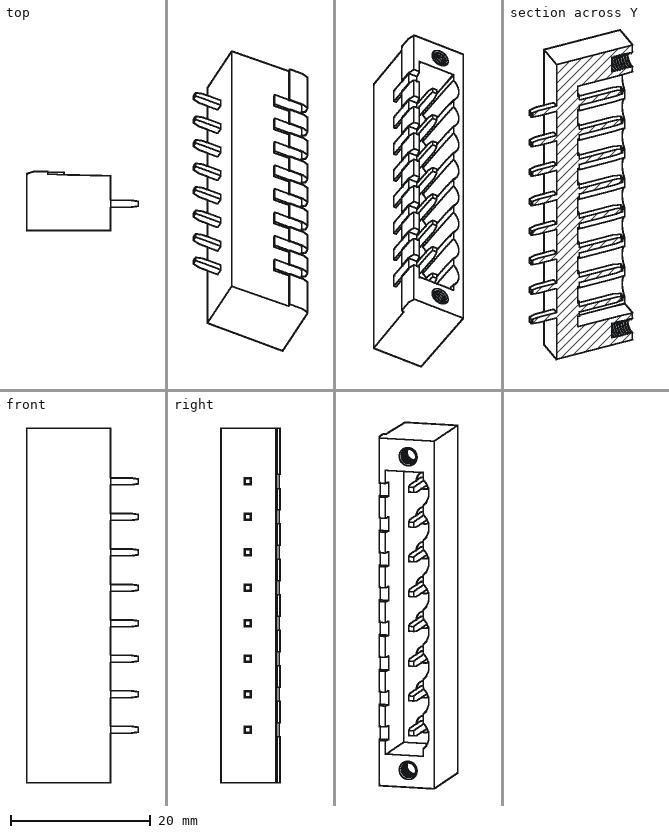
import cadquery as cq
import math

length = 50.8
body_depth = 12.05
total_depth = 16.0
width = 8.5

lip_bevel_depth = 1.0
lip_bevel_height = 0.3
lip_nose_depth = 0.05
lip_nose_height = 0.2
lip_end = 3.05
shoulder_y = 8.1
rear_y = 7.85

contact_count = 8
pitch = 5.1
first_contact_z = (length - pitch * (contact_count - 1)) / 2
contact_y = 3.85
contact_size = 1.0
contact_front = 1.5
taper_length = 1.0
taper_inset = 0.15
collar_diameter = 2.5
collar_height = 0.25

cavity_depth = 8.65
cavity_low_y = 1.65
cavity_high_y = 7.05
cavity_end_wall = 4.65
flare_depth = 2.05
flare_inset = 0.075
flare_angle = math.degrees(math.atan(flare_inset / flare_depth))

bevel_y = 7.3
ramp_start = 0.2
ramp_start_y = 7.2
ramp_end = 1.1

scallop_bottom_y = 0.75
scallop_half_height = 1.9
scallop_sag = cavity_low_y - scallop_bottom_y
scallop_radius = (scallop_half_height**2 + scallop_sag**2) / (2 * scallop_sag)

notch_height = 2.05
notch_depth = ramp_end
rib_end = 5.4
rib_top_y = 8.4

screw_z = 2.5
thread_minor_radius = 1.05
thread_major_radius = 1.3
thread_pitch = 0.4
thread_turns = 8

contact_heights = [first_contact_z + pitch * i for i in range(contact_count)]


def box(x_range, y_range, z_range):
    """Axis-aligned box given its limits along each axis."""
    size = [high - low for low, high in (x_range, y_range, z_range)]
    corner = (x_range[0], y_range[0], z_range[0])
    return cq.Workplane("XY").box(*size, centered=False).translate(corner)


def make_body():
    return (
        cq.Workplane("XY")
        .moveTo(0, 0)
        .lineTo(body_depth, 0)
        .lineTo(body_depth, rear_y)
        .lineTo(lip_end, shoulder_y)
        .lineTo(lip_end, width)
        .lineTo(lip_bevel_depth, width)
        .lineTo(lip_nose_depth, width - lip_bevel_height)
        .lineTo(0, width - lip_bevel_height - lip_nose_height)
        .close()
        .extrude(length)
    )


def flared_pocket(outline, y, z):
    """Sink a sketch, true to size at the end of the flare, to full depth and widen it to the mouth."""
    origin = (flare_depth, y, z)
    inward = cq.Plane(origin=origin, xDir=(0, 1, 0), normal=(1, 0, 0))
    outward = cq.Plane(origin=origin, xDir=(0, 1, 0), normal=(-1, 0, 0))
    deep_part = cq.Workplane(inward).placeSketch(outline).extrude(cavity_depth - flare_depth)
    mouth_part = cq.Workplane(outward).placeSketch(outline).extrude(flare_depth, taper=-flare_angle)
    return deep_part.union(mouth_part)


def make_cavity():
    mouth_length = length - 2 * cavity_end_wall
    inner_low_y = cavity_low_y + flare_inset
    inner_length = mouth_length - 2 * flare_inset
    rectangle = cq.Sketch().rect(cavity_high_y - inner_low_y, inner_length)
    cavity = flared_pocket(rectangle, (inner_low_y + cavity_high_y) / 2, length / 2)
    cavity = cavity.cut(box((0, flare_depth), (cavity_high_y, width), (0, length)))

    scallop = cq.Sketch().circle(scallop_radius - flare_inset)
    for z in contact_heights:
        cavity = cavity.union(flared_pocket(scallop, scallop_bottom_y + scallop_radius, z))

    lead_in = (
        cq.Workplane("XY", origin=(0, 0, cavity_end_wall))
        .moveTo(0, cavity_high_y)
        .lineTo(0, bevel_y)
        .lineTo(ramp_start, ramp_start_y)
        .lineTo(ramp_end, cavity_high_y)
        .close()
        .extrude(mouth_length)
    )
    return cavity.union(lead_in)


def make_contact(z):
    """Square pin tapered at both ends, running through the cavity floor, with its collar."""
    front_shoulder = contact_front + taper_length
    rear_shoulder = total_depth - taper_length
    half = contact_size / 2
    shank = box(
        (front_shoulder, rear_shoulder),
        (contact_y - half, contact_y + half),
        (z - half, z + half),
    )
    taper_angle = math.degrees(math.atan(taper_inset / taper_length))
    for shoulder, direction in ((front_shoulder, -1), (rear_shoulder, 1)):
        plane = cq.Plane(origin=(shoulder, contact_y, z), xDir=(0, 1, 0), normal=(direction, 0, 0))
        tip = cq.Workplane(plane).rect(contact_size, contact_size).extrude(taper_length, taper=taper_angle)
        shank = shank.union(tip)
    collar = (
        cq.Workplane("YZ", origin=(cavity_depth - collar_height, contact_y, z))
        .circle(collar_diameter / 2)
        .extrude(collar_height)
    )
    return shank.union(collar)


def make_screw_hole(z):
    """Hole with V-shaped thread rings, starting at the major diameter on the -X face."""
    profile = cq.Workplane("XY").moveTo(0, 0).lineTo(0, thread_major_radius)
    for turn in range(thread_turns):
        start = turn * thread_pitch
        profile = profile.lineTo(start + thread_pitch / 2, thread_minor_radius)
        profile = profile.lineTo(start + thread_pitch, thread_major_radius)
    profile = profile.lineTo(thread_turns * thread_pitch, 0).close()
    return profile.revolve(360, (0, 0), (1, 0)).translate((0, contact_y, z))


result = make_body().cut(make_cavity())

for z in contact_heights:
    notch_z = (z - notch_height / 2, z + notch_height / 2)
    notch = box((0, notch_depth), (cavity_high_y, width), notch_z)
    rib_gap = box((notch_depth, lip_end), (rib_top_y, width), notch_z)
    rib = box((lip_end, rib_end), (rear_y, rib_top_y), notch_z)
    result = result.cut(notch).cut(rib_gap).union(rib).union(make_contact(z))

for z in (screw_z, length - screw_z):
    result = result.cut(make_screw_hole(z))